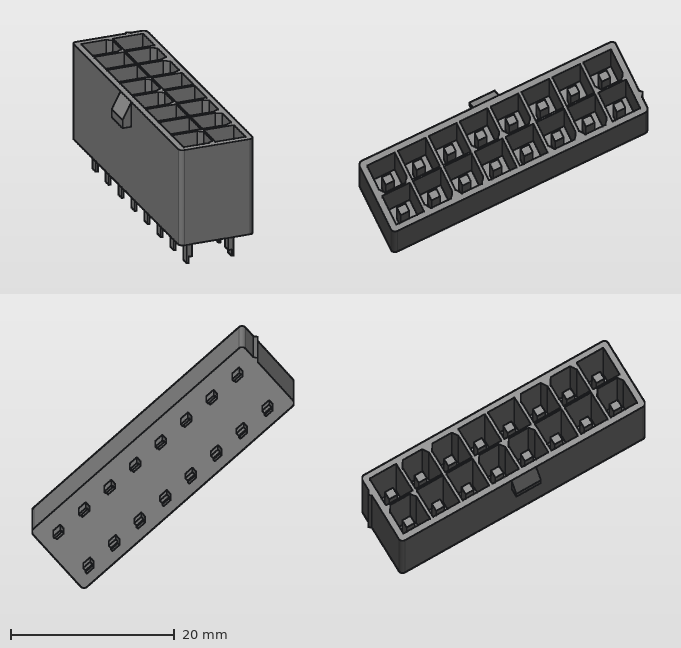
import cadquery as cq

overall_length = 35.2
rib_projection = 0.35
body_length = overall_length - rib_projection
overall_width = 10.95
latch_projection = 1.15
body_width = overall_width - latch_projection
body_height = 12.78
corner_radius = 0.55

columns = 8
column_span = 29.4
pitch = column_span / (columns - 1)
grid_shift_y = 0.05
square_back_columns = (0, 3, 4, 7)

cavity_length = 3.75
cavity_width = 3.98
cavity_depth = 10.55
chamfer_length = 0.5
back_chamfer_width = 0.77
front_chamfer_width = 0.67

pin_length = 1.15
pin_width = 1.05
pin_height = 7.05

leg_inner_y = 2.4
leg_outer_y = 3.1
leg_drop = 3.52
leg_shoulder_drop = 2.68
leg_tip_thickness = 0.28

latch_length = 3.5
latch_height = 3.3
latch_ramp_height = 2.2

rib_start = 2.0
rib_tip = 2.45
rib_end = 2.78

column_xs = [(i - (columns - 1) / 2) * pitch for i in range(columns)]
cavity_floor = body_height - cavity_depth


def make_housing():
    block = cq.Workplane("XY").box(body_length, body_width, body_height, centered=(True, True, False))
    return block.edges("|Z").fillet(corner_radius)


def make_latch():
    front = -body_width / 2
    crest = front - latch_projection
    profile = [
        (front, body_height),
        (crest, body_height - latch_ramp_height),
        (crest, body_height - latch_height),
        (front, body_height - latch_height),
    ]
    return cq.Workplane("YZ").polyline(profile).close().extrude(latch_length / 2, both=True)


def make_rib():
    left = -body_length / 2
    back = body_width / 2
    profile = [
        (left, back - rib_start),
        (left - rib_projection, back - rib_tip),
        (left, back - rib_end),
    ]
    return cq.Workplane("XY").polyline(profile).close().extrude(body_height)


def make_cavity(x, y, chamfer_width):
    """Cavity tool; a chamfer width of zero leaves it rectangular."""
    half_length = cavity_length / 2
    half_width = cavity_width / 2
    outline = [(-half_length, -half_width), (half_length, -half_width)]
    if chamfer_width > 0:
        outline += [
            (half_length, half_width - chamfer_width),
            (half_length - chamfer_length, half_width),
            (chamfer_length - half_length, half_width),
            (-half_length, half_width - chamfer_width),
        ]
    else:
        outline += [(half_length, half_width), (-half_length, half_width)]
    profile = cq.Workplane("XY", origin=(x, y, cavity_floor)).polyline(outline).close()
    return profile.extrude(cavity_depth)


def make_pin(x, y):
    base = cq.Workplane("XY", origin=(x, y, cavity_floor))
    return base.box(pin_length, pin_width, pin_height, centered=(True, True, False))


def make_leg(x, side):
    """Stepped leg on the back (side = 1) or front (side = -1)."""
    tip_inner_y = leg_outer_y - leg_tip_thickness
    profile = [
        (side * leg_inner_y, 0),
        (side * leg_outer_y, 0),
        (side * leg_outer_y, -leg_drop),
        (side * tip_inner_y, -leg_drop),
        (side * tip_inner_y, -leg_shoulder_drop),
        (side * leg_inner_y, -leg_shoulder_drop),
    ]
    plane = cq.Workplane("YZ", origin=(x, 0, 0))
    return plane.polyline(profile).close().extrude(pin_length / 2, both=True)


result = make_housing().union(make_latch()).union(make_rib())

for column, x in enumerate(column_xs):
    back_is_square = column in square_back_columns
    back_chamfer = 0 if back_is_square else back_chamfer_width
    front_chamfer = front_chamfer_width if back_is_square else 0
    for side, chamfer in ((1, back_chamfer), (-1, front_chamfer)):
        y = grid_shift_y + side * pitch / 2
        result = result.cut(make_cavity(x, y, chamfer))
        result = result.union(make_pin(x, y))
        result = result.union(make_leg(x, side))